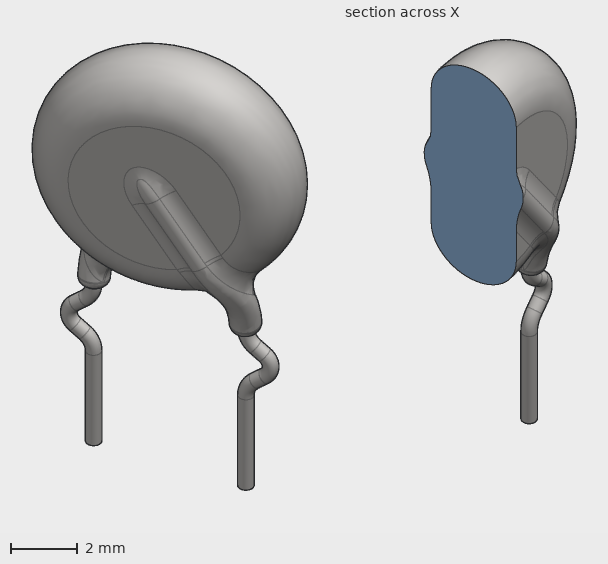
import cadquery as cq
import math

disc_radius = 4.25
disc_thickness = 3.1
edge_radius = disc_thickness / 2
flat_radius = disc_radius - edge_radius

overall_height = 15.75
lead_bottom = disc_radius - overall_height
lead_radius = 0.25
lead_x = 2.49
lead_depth_spacing = 0.61
lead_y = -lead_depth_spacing / 2
straight_top = -7.99
lead_embed = 0.47

kink_angle = math.radians(50)
outer_bend_radius = 0.8
middle_bend_radius = 0.54
slant_length = 0.4

arm_diameter = 1.0
arm_radius = arm_diameter / 2
overall_depth = 3.6
arm_y = arm_radius - overall_depth / 2
arm_slope = math.radians(33.3)
arm_straight_length = 2.7
arm_end_bend_radius = 1.5
arm_end_bend_angle = math.radians(60)
arm_bottom = -5.43
arm_tip_length = 0.35
arm_tip_lean = math.radians(9)
arm_tip_round = 0.32
arm_root_fillet = 1.0

seam_tolerance = 0.002


def make_disc():
    """Flat disc with a fully rounded rim, revolved about Y."""
    return (
        cq.Workplane("XY")
        .moveTo(0, -edge_radius)
        .lineTo(flat_radius, -edge_radius)
        .threePointArc((disc_radius, 0), (flat_radius, edge_radius))
        .lineTo(0, edge_radius)
        .close()
        .revolve(360, (0, 0, 0), (0, 1, 0))
    )


def make_arm():
    """Round arm: out of the disc, down along its -Y face, then back in to the lead."""
    down_slope = cq.Vector(math.sin(arm_slope), 0, -math.cos(arm_slope))
    inward = cq.Vector(0, 1, 0)
    straight_start = cq.Vector(0, arm_y, 0)
    straight_end = straight_start + down_slope * arm_straight_length
    tip_end = cq.Vector(lead_x, lead_y, arm_bottom)
    tip_direction = cq.Vector(0, math.sin(arm_tip_lean), -math.cos(arm_tip_lean))
    tip_top = tip_end - tip_direction * arm_tip_length

    def bend_point(angle):
        along = -arm_end_bend_radius * math.sin(angle)
        depth = arm_end_bend_radius * (1 - math.cos(angle))
        return straight_start + down_slope * along + inward * depth

    buried_end = bend_point(arm_end_bend_angle)
    start_direction = (
        down_slope * math.cos(arm_end_bend_angle) - inward * math.sin(arm_end_bend_angle)
    )
    path = cq.Wire.assembleEdges([
        cq.Edge.makeThreePointArc(buried_end, bend_point(arm_end_bend_angle / 2), straight_start),
        cq.Edge.makeLine(straight_start, straight_end),
        cq.Edge.makeSpline([straight_end, tip_top], tangents=[down_slope, tip_direction]),
        cq.Edge.makeLine(tip_top, tip_end),
    ])
    section = cq.Plane(origin=buried_end, xDir=down_slope.cross(inward), normal=start_direction)
    arm = cq.Workplane(section).circle(arm_radius).sweep(path)
    return arm.faces("<Z").edges().fillet(arm_tip_round)


def make_lead():
    """Straight wire with a sideways kink just below the arm tip."""
    sin_kink = math.sin(kink_angle)
    cos_kink = math.cos(kink_angle)
    sin_half = math.sin(kink_angle / 2)
    cos_half = math.cos(kink_angle / 2)

    bend_end_x = lead_x + outer_bend_radius * (1 - cos_kink)
    bend_mid_x = lead_x + outer_bend_radius * (1 - cos_half)
    slant_end_x = bend_end_x + slant_length * sin_kink
    crest_x = slant_end_x + middle_bend_radius * (1 - cos_kink)

    bend_end_rise = outer_bend_radius * sin_kink
    bend_mid_rise = outer_bend_radius * sin_half
    slant_end_rise = bend_end_rise + slant_length * cos_kink
    half_kink = slant_end_rise + middle_bend_radius * sin_kink
    kink_top = straight_top + 2 * half_kink

    path = (
        cq.Workplane("XZ", origin=(0, lead_y, 0))
        .moveTo(lead_x, lead_bottom)
        .lineTo(lead_x, straight_top)
        .threePointArc(
            (bend_mid_x, straight_top + bend_mid_rise),
            (bend_end_x, straight_top + bend_end_rise),
        )
        .lineTo(slant_end_x, straight_top + slant_end_rise)
        .threePointArc((crest_x, straight_top + half_kink), (slant_end_x, kink_top - slant_end_rise))
        .lineTo(bend_end_x, kink_top - bend_end_rise)
        .threePointArc((bend_mid_x, kink_top - bend_mid_rise), (lead_x, kink_top))
        .lineTo(lead_x, kink_top + lead_embed)
    )
    return (
        cq.Workplane("XY", origin=(lead_x, lead_y, lead_bottom))
        .circle(lead_radius)
        .sweep(path)
    )


def half_turn(shape):
    """Copy turned 180 degrees about Z, onto the opposite side of the disc."""
    return shape.rotate((0, 0, 0), (0, 0, 1), 180)


def surface_distance(point, shape):
    """Distance from a point to the nearest face of a shape."""
    vertex = cq.Vertex.makeVertex(*point.toTuple())
    return min(vertex.distance(face) for face in shape.val().Faces())


def add_arm(body, arm):
    """Join an arm to the body and blend the seam where the two surfaces cross."""
    joined = body.union(arm)
    seam = []
    for edge in joined.edges().vals():
        middle = edge.positionAt(0.5)
        if max(surface_distance(middle, body), surface_distance(middle, arm)) < seam_tolerance:
            seam.append(edge)
    return joined.newObject(seam).fillet(arm_root_fillet)


arm = make_arm()
lead = make_lead()

body = add_arm(make_disc(), arm)
body = add_arm(body, half_turn(arm))
result = body.union(lead).union(half_turn(lead))